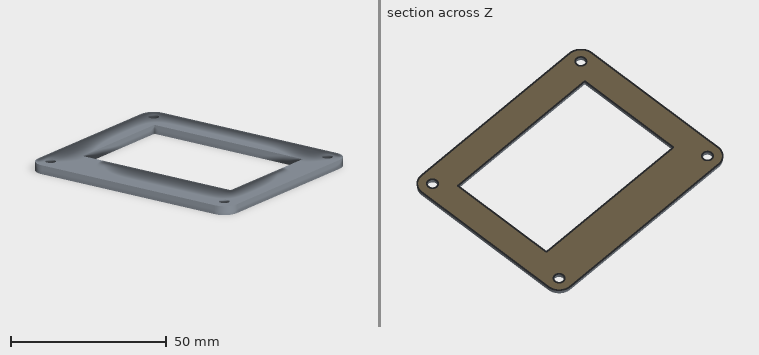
import cadquery as cq

length = 79.15
width = 66.2
thickness = 3.0
corner_radius = 5.0

hole_diameter = 3.5
hole_spacing_x = length - 2 * corner_radius
hole_spacing_y = width - 2 * corner_radius

window_length = 59.05
window_width = 39.2
top_border = 11.55
window_center_y = width / 2 - top_border - window_width / 2

plate = (
    cq.Workplane("XY")
    .rect(length, width)
    .extrude(thickness)
    .edges("|Z")
    .fillet(corner_radius)
)

holes = (
    cq.Workplane("XY")
    .rect(hole_spacing_x, hole_spacing_y, forConstruction=True)
    .vertices()
    .circle(hole_diameter / 2)
    .extrude(thickness)
)

window = (
    cq.Workplane("XY")
    .center(0, window_center_y)
    .rect(window_length, window_width)
    .extrude(thickness)
)

result = plate.cut(holes).cut(window)